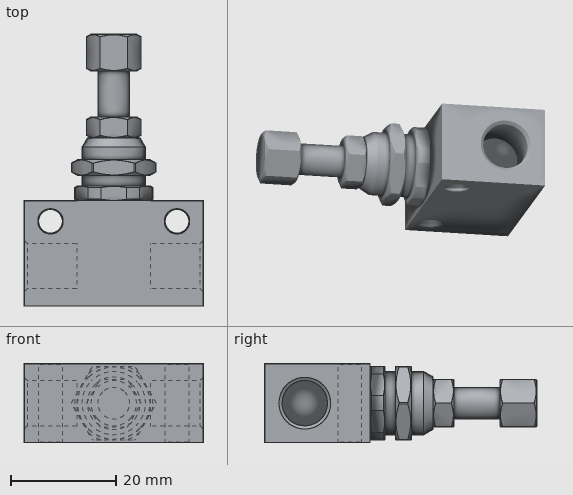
import cadquery as cq
import math


BODY_LENGTH = 34.0
BODY_DEPTH = 20.0
BODY_HEIGHT = 15.0

PORT_DIAMETER = 8.6
PORT_MOUTH_DIAMETER = 9.8
PORT_DEPTH = 10.0
PORT_Y = 7.6

MOUNT_DIAMETER = 4.5
MOUNT_CHAMFER = 0.15
MOUNT_SPACING = 24.0
MOUNT_Y = 16.1

COLLAR_TOP = 2.8
PANEL_NUT_BASE = 4.8
PANEL_NUT_TOP = 7.8
SHOULDER_BASE = 10.15
SHOULDER_TOP = 11.9
LOCKNUT_TOP = 15.9
KNOB_BASE = 24.6
KNOB_TOP = 31.6

SLEEVE_RADIUS = 6.0
SHOULDER_TOP_RADIUS = 5.0
STEM_RADIUS = 3.0

LARGE_FLATS = 14.0
SMALL_FLATS = 9.0
COLLAR_CORNER_RADIUS = 7.4
COLLAR_END_RADIUS = 6.9
PANEL_NUT_CORNER_RADIUS = 8.0
PANEL_NUT_END_RADIUS = 6.85
SMALL_CORNER_RADIUS = SMALL_FLATS / math.sqrt(3)
SMALL_END_RADIUS = 4.3
NUT_CHAMFER_ANGLE = math.radians(30)


def make_hex_nut(base, top, flats, corner_radius, end_radius):
    """Solid hexagon along Z, corners on the X axis, turned down at both ends."""
    corner_diameter = 2 * flats / math.sqrt(3)
    hexagon = cq.Workplane("XY").workplane(offset=base).polygon(6, corner_diameter).extrude(top - base)
    chamfer_height = (corner_radius - end_radius) * math.tan(NUT_CHAMFER_ANGLE)
    turned_blank = (
        cq.Workplane("XZ")
        .moveTo(0, base)
        .lineTo(end_radius, base)
        .lineTo(corner_radius, base + chamfer_height)
        .lineTo(corner_radius, top - chamfer_height)
        .lineTo(end_radius, top)
        .lineTo(0, top)
        .close()
        .revolve(360, (0, 0, 0), (0, 1, 0))
    )
    return hexagon.intersect(turned_blank)


def make_turned_core():
    """Sleeve with its conical shoulder and the thin stem, turned about Z."""
    return (
        cq.Workplane("XZ")
        .lineTo(SLEEVE_RADIUS, 0)
        .lineTo(SLEEVE_RADIUS, SHOULDER_BASE)
        .lineTo(SHOULDER_TOP_RADIUS, SHOULDER_TOP)
        .lineTo(STEM_RADIUS, SHOULDER_TOP)
        .lineTo(STEM_RADIUS, KNOB_TOP)
        .lineTo(0, KNOB_TOP)
        .close()
        .revolve(360, (0, 0, 0), (0, 1, 0))
    )


def make_spindle():
    """Complete spindle, turned from Z onto +Y and seated on the body."""
    collar = make_hex_nut(0, COLLAR_TOP, LARGE_FLATS, COLLAR_CORNER_RADIUS, COLLAR_END_RADIUS)
    panel_nut = make_hex_nut(
        PANEL_NUT_BASE, PANEL_NUT_TOP, LARGE_FLATS, PANEL_NUT_CORNER_RADIUS, PANEL_NUT_END_RADIUS
    )
    locknut = make_hex_nut(SHOULDER_TOP, LOCKNUT_TOP, SMALL_FLATS, SMALL_CORNER_RADIUS, SMALL_END_RADIUS)
    knob = make_hex_nut(KNOB_BASE, KNOB_TOP, SMALL_FLATS, SMALL_CORNER_RADIUS, SMALL_END_RADIUS)
    spindle = make_turned_core().union(collar).union(panel_nut).union(locknut).union(knob)
    return spindle.rotate((0, 0, 0), (1, 0, 0), -90).translate((0, BODY_DEPTH, 0))


def make_port_cutter(side):
    """Blind port with a 45 degree mouth; side is -1 or +1 for the -X or +X end."""
    port_radius = PORT_DIAMETER / 2
    mouth_radius = PORT_MOUTH_DIAMETER / 2
    mouth_depth = mouth_radius - port_radius
    end_x = BODY_LENGTH / 2
    return (
        cq.Workplane("XY", origin=(0, PORT_Y, 0))
        .moveTo(side * end_x, 0)
        .lineTo(side * end_x, mouth_radius)
        .lineTo(side * (end_x - mouth_depth), port_radius)
        .lineTo(side * (end_x - PORT_DEPTH), port_radius)
        .lineTo(side * (end_x - PORT_DEPTH), 0)
        .close()
        .revolve(360, (0, 0, 0), (1, 0, 0))
    )


def make_mount_cutter(x):
    """Through hole along Z that flares by its chamfer at both faces."""
    hole_radius = MOUNT_DIAMETER / 2
    mouth_radius = hole_radius + MOUNT_CHAMFER
    half_height = BODY_HEIGHT / 2
    return (
        cq.Workplane("XZ", origin=(x, MOUNT_Y, 0))
        .moveTo(0, -half_height)
        .lineTo(mouth_radius, -half_height)
        .lineTo(hole_radius, -half_height + MOUNT_CHAMFER)
        .lineTo(hole_radius, half_height - MOUNT_CHAMFER)
        .lineTo(mouth_radius, half_height)
        .lineTo(0, half_height)
        .close()
        .revolve(360, (0, 0, 0), (0, 1, 0))
    )


def make_body():
    """Rectangular block with its ports and mounting holes."""
    body = cq.Workplane("XY").box(BODY_LENGTH, BODY_DEPTH, BODY_HEIGHT, centered=(True, False, True))
    for side in (-1, 1):
        body = body.cut(make_port_cutter(side))
        body = body.cut(make_mount_cutter(side * MOUNT_SPACING / 2))
    return body


result = make_body().union(make_spindle())